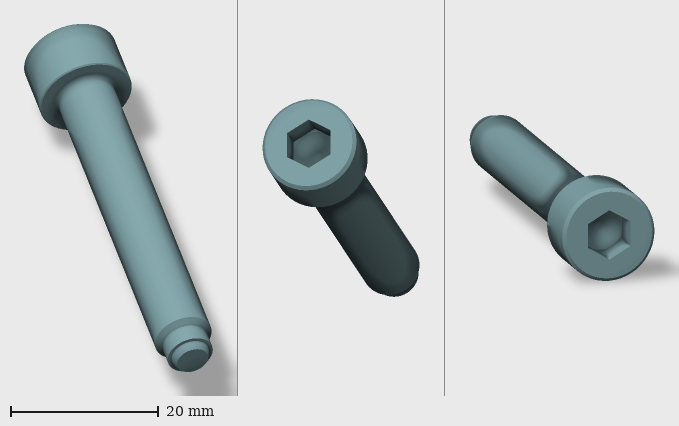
import cadquery as cq
import math

total_length = 58.0
head_height = 8.0
shank_end = 53.65
pin_start = 54.4
pin_end = 56.9

head_diameter = 13.0
shank_diameter = 8.0
pin_diameter = 6.4
head_chamfer = 0.45
head_rear_chamfer = 0.2
neck_fillet = 0.6

ball_radius = 2.7
ball_flat_radius = 2.2

socket_across_flats = 6.0
socket_depth = 4.0
socket_cone_angle = 120.0


def ball_radius_at(x):
    """Radius of the ball's cross-section at axial position x."""
    ball_center = total_length - math.sqrt(ball_radius**2 - ball_flat_radius**2)
    return math.sqrt(ball_radius**2 - (x - ball_center)**2)


def make_screw_body():
    """Revolve the head, shank, pin and flattened ball about the X axis."""
    head_radius = head_diameter / 2
    shank_radius = shank_diameter / 2
    pin_radius = pin_diameter / 2
    arc_offset = neck_fillet * (1 - math.sqrt(0.5))
    ball_middle = (pin_end + total_length) / 2
    profile = (
        cq.Workplane("XY")
        .moveTo(0, 0)
        .lineTo(0, head_radius - head_chamfer)
        .lineTo(head_chamfer, head_radius)
        .lineTo(head_height - head_rear_chamfer, head_radius)
        .lineTo(head_height, head_radius - head_rear_chamfer)
        .lineTo(head_height, shank_radius + neck_fillet)
        .threePointArc(
            (head_height + arc_offset, shank_radius + arc_offset),
            (head_height + neck_fillet, shank_radius),
        )
        .lineTo(shank_end, shank_radius)
        .lineTo(pin_start, pin_radius)
        .lineTo(pin_end, pin_radius)
        .lineTo(pin_end, ball_radius_at(pin_end))
        .threePointArc((ball_middle, ball_radius_at(ball_middle)), (total_length, ball_flat_radius))
        .lineTo(total_length, 0)
        .close()
    )
    return profile.revolve(360, (0, 0, 0), (1, 0, 0))


def make_socket():
    """Hexagonal prism with corners on Z, followed by a drill-point cone."""
    across_corners = socket_across_flats / math.cos(math.pi / 6)
    hexagon = (
        cq.Workplane("YZ")
        .transformed(rotate=(0, 0, 90))
        .polygon(6, across_corners)
        .extrude(socket_depth)
    )
    cone_radius = socket_across_flats / 2
    cone_depth = cone_radius / math.tan(math.radians(socket_cone_angle / 2))
    cone = cq.Solid.makeCone(
        cone_radius, 0, cone_depth, cq.Vector(socket_depth, 0, 0), cq.Vector(1, 0, 0)
    )
    return hexagon.union(cq.Workplane(cone))


result = make_screw_body().cut(make_socket())